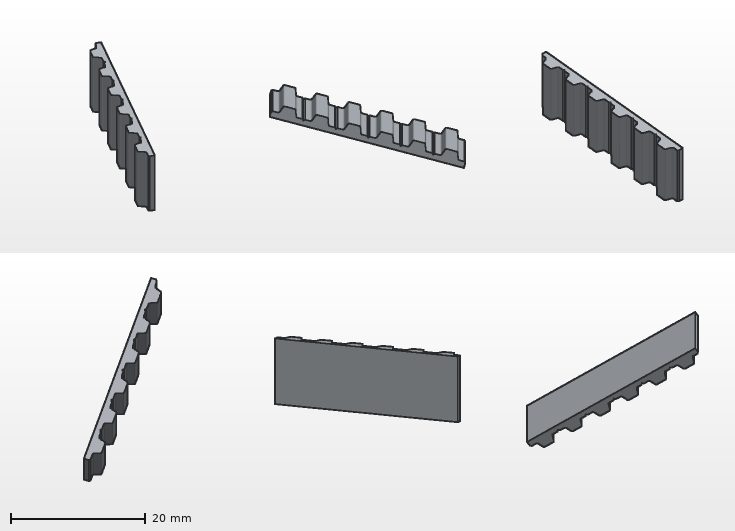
import cadquery as cq
import math

length = 30.0
belt_width = length / 3
tooth_count = 6
pitch = length / tooth_count
back_thickness = length / 30
tooth_height = 1.2
tooth_tip_width = 1.8
flank_angle = 20.0
root_radius = 0.3
tip_radius = 0.25
notch_half_width = 0.2
notch_depth = 0.2

tip_half = tooth_tip_width / 2
root_half = tip_half + tooth_height * math.tan(math.radians(flank_angle))


def upright_edges(body, x, y):
    """The mirrored pair of vertical edges at -x and +x."""
    edges = []
    for side in (-1, 1):
        nearest = cq.selectors.NearestToPointSelector((side * x, y, belt_width / 2))
        edges.append(body.edges("|Z").edges(nearest).val())
    return edges


def pitch_segment(center_x):
    """One pitch of belt: a rounded tooth with half a V notch at each end."""
    half_pitch = pitch / 2
    half_outline = [
        (half_pitch, back_thickness),
        (half_pitch, notch_depth),
        (half_pitch - notch_half_width, 0),
        (root_half, 0),
        (tip_half, -tooth_height),
    ]
    mirrored = [(-x, y) for x, y in reversed(half_outline)]
    segment = cq.Workplane("XY").polyline(half_outline + mirrored).close().extrude(belt_width)

    segment = segment.newObject(upright_edges(segment, root_half, 0)).fillet(root_radius)
    segment = segment.newObject(upright_edges(segment, tip_half, -tooth_height)).fillet(tip_radius)
    return segment.translate((center_x, 0, 0))


first_center = pitch / 2
belt = pitch_segment(first_center)
for index in range(1, tooth_count):
    belt = belt.union(pitch_segment(first_center + index * pitch))

result = belt.clean()